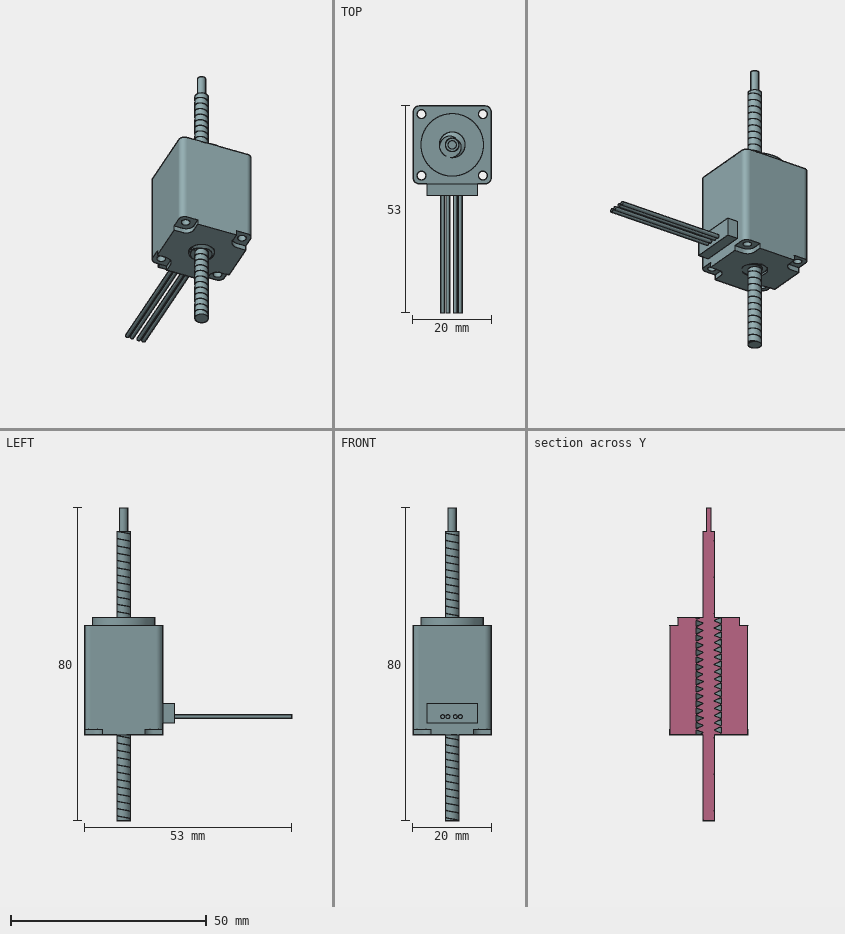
import cadquery as cq
import math

body_width = 20.0
body_height = 28.0
corner_radius = 1.6

boss_diameter = 16.0
boss_height = 2.0
boss_top = body_height + boss_height

hole_spacing = 15.7
hole_diameter = 2.2

notch_size = 4.6
notch_height = 1.4
notch_radius = 2.2

screw_diameter = 3.5
screw_bottom = -22.0
screw_top = 52.0
journal_diameter = 2.15
journal_length = 6.0

groove_lead = 1.866
groove_point_depth = 0.05
groove_outer_radius = 3.3
groove_outer_width = 1.5
turns_per_cutter = 3

connector_width = 13.0
connector_depth = 3.0
connector_height = 5.0
connector_bottom = 3.0
wire_diameter = 1.0
wire_length = 30.0
wire_height = 4.63
wire_positions = (-2.45, -1.1, 0.8, 2.1)


def make_body():
    body = (
        cq.Workplane("XY")
        .rect(body_width, body_width)
        .extrude(body_height)
        .edges("|Z")
        .fillet(corner_radius)
    )
    boss = cq.Workplane("XY").circle(boss_diameter / 2).extrude(boss_top)
    return body.union(boss)


def make_corner_notches():
    """Square cutters at the four corners, reaching well outside the body."""
    notch_inner = body_width / 2 - notch_size
    cutter_size = 2 * notch_size
    notch_centre = notch_inner + cutter_size / 2
    return (
        cq.Workplane("XY")
        .rect(2 * notch_centre, 2 * notch_centre, forConstruction=True)
        .vertices()
        .rect(cutter_size, cutter_size)
        .extrude(notch_height)
        .edges("|Z")
        .fillet(notch_radius)
    )


def make_mounting_holes():
    return (
        cq.Workplane("XY")
        .rect(hole_spacing, hole_spacing, forConstruction=True)
        .vertices()
        .circle(hole_diameter / 2)
        .extrude(body_height)
    )


def make_screw():
    """Screw and journal, turned so that their seams lie opposite the start of the groove."""
    screw = (
        cq.Workplane("XY", origin=(0, 0, screw_bottom))
        .circle(screw_diameter / 2)
        .extrude(screw_top - screw_bottom)
    )
    journal = (
        cq.Workplane("XY", origin=(0, 0, screw_top))
        .circle(journal_diameter / 2)
        .extrude(journal_length)
    )
    return screw.union(journal).rotate((0, 0, 0), (0, 0, 1), 180)


def make_groove_cutters():
    """Triangle swept up the helix in short lengths, stacked end to end up the screw."""
    point_radius = screw_diameter / 2 - groove_point_depth
    cutter_rise = turns_per_cutter * groove_lead
    helix = cq.Wire.makeHelix(
        groove_lead,
        cutter_rise,
        point_radius,
        center=cq.Vector(0, 0, screw_bottom),
        lefthand=True,
    )
    cutter = (
        cq.Workplane("XZ")
        .moveTo(point_radius, screw_bottom)
        .lineTo(groove_outer_radius, screw_bottom - groove_outer_width / 2)
        .lineTo(groove_outer_radius, screw_bottom + groove_outer_width / 2)
        .close()
        .sweep(cq.Workplane(helix), isFrenet=True)
        .val()
    )
    cutter_count = math.ceil((screw_top - screw_bottom) / cutter_rise)
    return [cutter.translate(cq.Vector(0, 0, i * cutter_rise)) for i in range(cutter_count)]


def make_connector():
    front_face = -body_width / 2 - connector_depth
    connector = cq.Workplane("XY", origin=(0, front_face, connector_bottom)).box(
        connector_width, connector_depth, connector_height, centered=(True, False, False)
    )
    for wire_x in wire_positions:
        wire = (
            cq.Workplane("XZ", origin=(wire_x, front_face, wire_height))
            .circle(wire_diameter / 2)
            .extrude(wire_length)
        )
        connector = connector.union(wire)
    return connector


body = make_body().cut(make_corner_notches()).cut(make_mounting_holes())
motor = body.union(make_connector()).union(make_screw())
grooved_motor = motor.val().cut(*make_groove_cutters())
result = cq.Workplane(grooved_motor).solids()